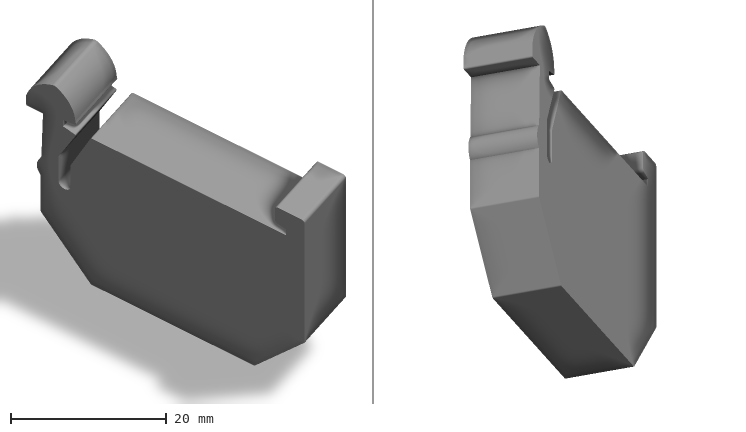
import cadquery as cq

length = 43.0
width = 9.5
height = 34.55

body_left = 2.25
body_top = 28.0
chamfer_run = 7.75
chamfer_rise = 9.2

hook_left = 38.4
hook_neck_left = 40.15
hook_top = 32.5
hook_lip_z = 29.5
hook_neck_z = 29.1

head_bottom = 28.15
head_shoulder_z = 30.0
tip_left = (3.95, 34.45)
tip_middle = (4.35, height)
tip_right = (4.75, 34.42)
head_left_radius = 6.2
head_right_radius = 5.6
head_right = (7.6, 29.75)
head_lip = (7.75, 29.1)

notch_left = 5.7
notch_top = 28.8
notch_bottom = 27.6
web_top_reach = 0.25
web_bottom_reach = 0.1
web_depth = width / 2
web_overlap = 0.1
leg_lip = (7.7, 27.15)
leg_neck_left = 2.6

slot_left = 5.0
slot_width = 1.85
slot_bottom = 15.75
slot_bend_left_z = 21.4
slot_bend_right_z = 20.85
slot_mouth_right = 10.0

rib_left = 1.65
rib_bottom = 16.15
rib_top = 19.5
rib_top_x = 2.35

hook_radius = 0.5
body_corner_radius = 0.3
lip_radius = 0.2


def housing_outline():
    """Closed side profile in the XZ plane, clockwise from the left end of the base."""
    slot_radius = slot_width / 2
    slot_right = slot_left + slot_width
    slot_end_z = slot_bottom + slot_radius
    rib_middle_z = (rib_bottom + rib_top) / 2
    return (
        cq.Workplane("XZ")
        .moveTo(body_left + chamfer_run, 0)
        .lineTo(body_left, chamfer_rise)
        .lineTo(body_left, rib_bottom)
        .threePointArc((rib_left, rib_middle_z), (rib_top_x, rib_top))
        .lineTo(leg_neck_left, head_bottom)
        .lineTo(0, head_bottom)
        .lineTo(0, head_shoulder_z)
        .radiusArc(tip_left, head_left_radius)
        .threePointArc(tip_middle, tip_right)
        .radiusArc(head_right, head_right_radius)
        .lineTo(*head_lip)
        .lineTo(notch_left, notch_top)
        .lineTo(notch_left, notch_bottom)
        .lineTo(*leg_lip)
        .lineTo(slot_left, slot_bend_left_z)
        .lineTo(slot_left, slot_end_z)
        .threePointArc((slot_left + slot_radius, slot_bottom), (slot_right, slot_end_z))
        .lineTo(slot_right, slot_bend_right_z)
        .lineTo(slot_mouth_right, body_top)
        .lineTo(hook_neck_left, body_top)
        .lineTo(hook_neck_left, hook_neck_z)
        .lineTo(hook_left, hook_lip_z)
        .lineTo(hook_left, hook_top)
        .lineTo(length, hook_top)
        .lineTo(length, chamfer_rise)
        .lineTo(length - chamfer_run, 0)
        .close()
    )


def notch_web():
    """Thin tapered web on the inner wall of the notch, along the rear half of the width."""
    top = notch_top + web_overlap
    bottom = notch_bottom - web_overlap
    return (
        cq.Workplane("XZ", origin=(0, width, 0))
        .moveTo(leg_neck_left, bottom)
        .lineTo(notch_left + web_bottom_reach, bottom)
        .lineTo(notch_left + web_top_reach, top)
        .lineTo(leg_neck_left, top)
        .close()
        .extrude(web_depth)
    )


def round_corners(part, corners, radius):
    """Round the edges along Y that pass through the given XZ corners."""
    reach = radius / 4
    for x, z in corners:
        low = (x - reach, -reach, z - reach)
        high = (x + reach, width + reach, z + reach)
        part = part.edges("|Y").edges(cq.selectors.BoxSelector(low, high)).fillet(radius)
    return part


hook_corners = [
    (hook_left, hook_lip_z),
    (hook_left, hook_top),
    (length, hook_top),
]
body_corners = [
    (body_left, chamfer_rise),
    (body_left + chamfer_run, 0),
    (length - chamfer_run, 0),
    (length, chamfer_rise),
    (slot_mouth_right, body_top),
]
lip_corners = [
    (0, head_bottom),
    head_lip,
    leg_lip,
]

housing = housing_outline().extrude(-width)
housing = round_corners(housing, hook_corners, hook_radius)
housing = round_corners(housing, body_corners, body_corner_radius)
housing = round_corners(housing, lip_corners, lip_radius)
result = housing.union(notch_web())